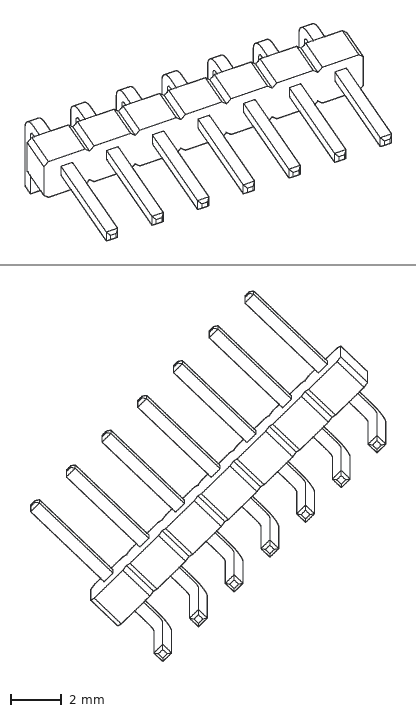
import cadquery as cq


row_length = 14.0
pin_count = 7
pitch = row_length / pin_count

strip_width = 3 * pitch / 4
strip_height = pitch
corner_chamfer = pitch / 10

pin_size = pitch / 4
inner_bend_run = pin_size / 2
outer_bend_run = inner_bend_run + pin_size
bend_flatness = 0.31
outer_bend_inset = bend_flatness * outer_bend_run
inner_bend_inset = bend_flatness * inner_bend_run
tip_chamfer = pin_size / 4
pin_reach = 7.45
pin_below_strip_top = pin_size
strip_offset = 1.75
part_height = 4.65

pin_top = part_height - pin_below_strip_top
pin_centers = [(i - (pin_count - 1) / 2) * pitch for i in range(pin_count)]


def strip_segment(center_y):
    """One pin's share of the strip: a block with its four edges along X chamfered."""
    return (
        cq.Workplane("XY")
        .box(strip_width, pitch, strip_height)
        .edges("|X")
        .chamfer(corner_chamfer)
        .translate((strip_offset + strip_width / 2, center_y, part_height - strip_height / 2))
    )


def bent_pin(center_y):
    """L-shaped square pin with a rounded bend and tapered tips on both legs."""
    inner_top = pin_top - pin_size
    inner_bend_end = pin_size + inner_bend_run
    pin = (
        cq.Workplane("XZ", origin=(0, center_y, 0))
        .moveTo(0, 0)
        .lineTo(0, pin_top - outer_bend_run)
        .threePointArc((outer_bend_inset, pin_top - outer_bend_inset), (outer_bend_run, pin_top))
        .lineTo(pin_reach, pin_top)
        .lineTo(pin_reach, inner_top)
        .lineTo(inner_bend_end, inner_top)
        .threePointArc(
            (pin_size + inner_bend_inset, inner_top - inner_bend_inset),
            (pin_size, inner_top - inner_bend_run),
        )
        .lineTo(pin_size, 0)
        .close()
        .extrude(pin_size / 2, both=True)
    )
    return pin.faces(">X or <Z").edges().chamfer(tip_chamfer)


result = strip_segment(pin_centers[0])
for y in pin_centers[1:]:
    result = result.union(strip_segment(y))
for y in pin_centers:
    result = result.union(bent_pin(y))